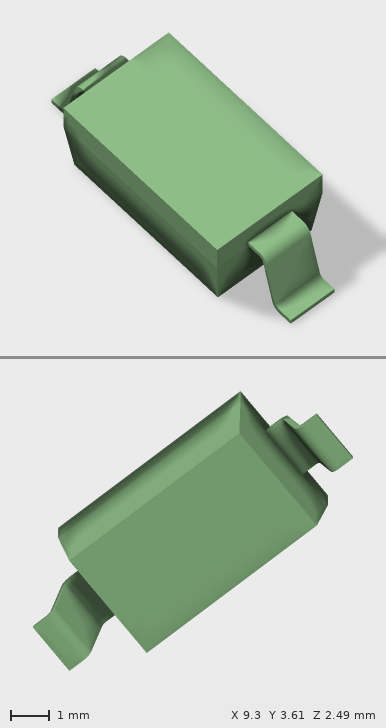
import cadquery as cq
import math

HOUSING_LENGTH = 5.98
HOUSING_WIDTH = 3.61
HOUSING_HEIGHT = 2.49
CAP_HEIGHT = 0.81
BASE_INSET = 0.2

OVERALL_LENGTH = 9.3
LEAD_WIDTH = 1.5
LEAD_THICKNESS = 0.15
LEAD_TOP = 1.855
LEAD_LEAN = math.radians(15)
FOOT_LENGTH = 0.425
BEND_INNER_RADIUS = 0.15

MARK_DIAMETER = 0.3
MARK_DEPTH = 0.1
MARK_EDGE_DISTANCE = 0.6

BEND_OUTER_RADIUS = BEND_INNER_RADIUS + LEAD_THICKNESS
TAPER_HEIGHT = HOUSING_HEIGHT - CAP_HEIGHT
MARK_X = -HOUSING_LENGTH / 2 + MARK_EDGE_DISTANCE


def make_mark():
    return (
        cq.Workplane("XY", origin=(MARK_X, 0, HOUSING_HEIGHT - MARK_DEPTH))
        .circle(MARK_DIAMETER / 2)
        .extrude(MARK_DEPTH)
    )


def make_housing(mark):
    cap = (
        cq.Workplane("XY", origin=(0, 0, TAPER_HEIGHT))
        .rect(HOUSING_LENGTH, HOUSING_WIDTH)
        .extrude(CAP_HEIGHT)
    )
    tapered_half = (
        cq.Workplane("XY")
        .rect(HOUSING_LENGTH - 2 * BASE_INSET, HOUSING_WIDTH - 2 * BASE_INSET)
        .workplane(offset=TAPER_HEIGHT)
        .rect(HOUSING_LENGTH, HOUSING_WIDTH)
        .loft(ruled=True)
    )
    return cap.union(tapered_half).cut(mark)


def make_left_lead():
    """Lead on the -X end, from its foot at Z = 0 up to the housing end face."""
    tip_x = -OVERALL_LENGTH / 2
    housing_x = -HOUSING_LENGTH / 2

    bend_radii_sum = BEND_INNER_RADIUS + BEND_OUTER_RADIUS
    bends_rise = bend_radii_sum * (1 - math.sin(LEAD_LEAN))
    leg_rise = LEAD_TOP - LEAD_THICKNESS - bends_rise
    leg_run = leg_rise * math.tan(LEAD_LEAN)

    lower_x = tip_x + FOOT_LENGTH
    lower_z = BEND_OUTER_RADIUS
    upper_x = lower_x + bend_radii_sum * math.cos(LEAD_LEAN) + leg_run
    upper_z = LEAD_TOP - BEND_OUTER_RADIUS

    end_angle = -LEAD_LEAN
    middle_angle = (end_angle - math.pi / 2) / 2

    def on_lower_bend(radius, angle):
        return (lower_x + radius * math.cos(angle), lower_z + radius * math.sin(angle))

    def on_upper_bend(radius, angle):
        return (upper_x - radius * math.cos(angle), upper_z - radius * math.sin(angle))

    profile = (
        cq.Workplane("XZ")
        .moveTo(tip_x, 0)
        .lineTo(lower_x, 0)
        .threePointArc(
            on_lower_bend(BEND_OUTER_RADIUS, middle_angle),
            on_lower_bend(BEND_OUTER_RADIUS, end_angle),
        )
        .lineTo(*on_upper_bend(BEND_INNER_RADIUS, end_angle))
        .threePointArc(
            on_upper_bend(BEND_INNER_RADIUS, middle_angle),
            (upper_x, LEAD_TOP - LEAD_THICKNESS),
        )
        .lineTo(housing_x, LEAD_TOP - LEAD_THICKNESS)
        .lineTo(housing_x, LEAD_TOP)
        .lineTo(upper_x, LEAD_TOP)
        .threePointArc(
            on_upper_bend(BEND_OUTER_RADIUS, middle_angle),
            on_upper_bend(BEND_OUTER_RADIUS, end_angle),
        )
        .lineTo(*on_lower_bend(BEND_INNER_RADIUS, end_angle))
        .threePointArc(
            on_lower_bend(BEND_INNER_RADIUS, middle_angle),
            (lower_x, LEAD_THICKNESS),
        )
        .lineTo(tip_x, LEAD_THICKNESS)
        .close()
    )
    return profile.extrude(LEAD_WIDTH / 2, both=True)


mark = make_mark()
housing = make_housing(mark)
left_lead = make_left_lead()
leads = [left_lead.rotate((0, 0, 0), (0, 0, 1), turn) for turn in (0, 180)]

result = cq.Compound.makeCompound(
    [housing.val(), mark.val(), *(lead.val() for lead in leads)]
)